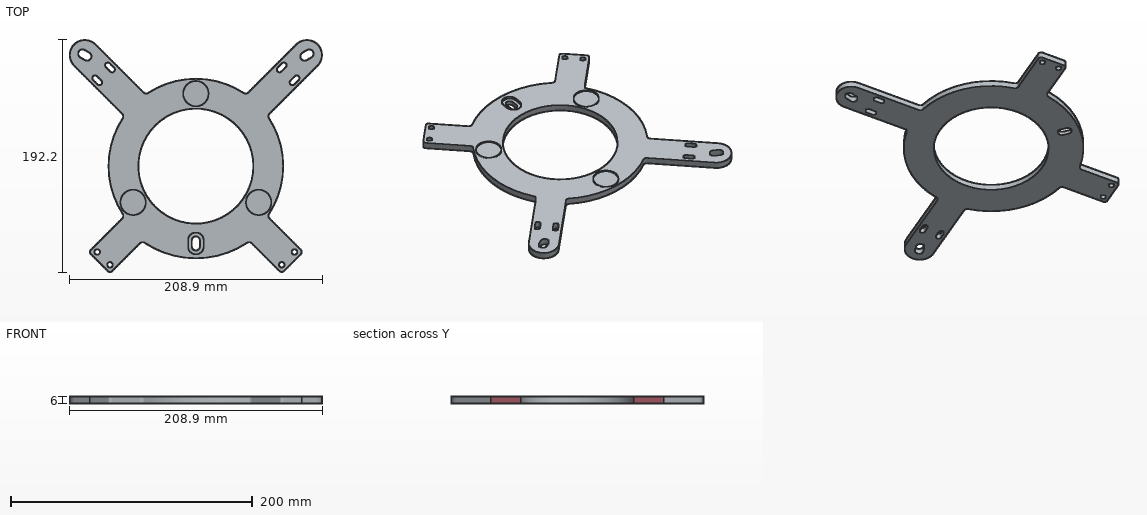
import cadquery as cq
import math

overall_width = 208.9
thickness = 6.0
bore_diameter = 95.0
ring_radius = 72.4
lower_ring_radius = 76.4

arm_width = 25.0
upper_arm_angles = (45.0, 135.0)
lower_arm_angles = (-45.0, -135.0)
upper_arm_tip_radius = arm_width / 2
upper_arm_reach = (overall_width / 2 - upper_arm_tip_radius) * math.sqrt(2)
lower_arm_length = 113.0
lower_arm_corner_radius = 2.5
root_fillet_radius = 3.0

screw_diameter = 4.4
screw_reach = 108.0
screw_spacing = 15.0
screw_slot_travel = 5.0

tip_slot_diameter = 7.0
tip_slot_travel = 4.4
tip_slot_tilt = 30.0

recess_diameter = 21.0
recess_circle_radius = 60.0
recess_depth = 1.0
recess_angles = (90.0, 210.0, 330.0)

ring_slot_y = -64.0
ring_slot_travel = 5.0
ring_slot_width = 6.5
ring_slot_counterbore_width = 13.0
ring_slot_counterbore_depth = 2.0


def polar(radius, angle, offset=0.0):
    """Point at a radius along an angle, shifted sideways (counterclockwise) by offset."""
    a = math.radians(angle)
    x = radius * math.cos(a) - offset * math.sin(a)
    y = radius * math.sin(a) + offset * math.cos(a)
    return (x, y)


def slot_cutter(center, travel, width, angle, depth=thickness):
    """Round-ended slot reaching down from the top face."""
    cutter = cq.Workplane("XY").slot2D(travel + width, width, angle).extrude(depth)
    return cutter.translate((center[0], center[1], thickness - depth))


def make_ring():
    disc = cq.Workplane("XY").circle(ring_radius).extrude(thickness)
    wedge_side = 2 * lower_ring_radius
    wedge = (
        cq.Workplane("XY")
        .polyline([(0, 0), (-wedge_side, -wedge_side), (wedge_side, -wedge_side)])
        .close()
        .extrude(thickness)
    )
    lower_sector = cq.Workplane("XY").circle(lower_ring_radius).extrude(thickness).intersect(wedge)
    return disc.union(lower_sector)


def make_arm(length, angle):
    arm = cq.Workplane("XY").box(length, arm_width, thickness, centered=(False, True, False))
    return arm.rotate((0, 0, 0), (0, 0, 1), angle)


def make_upper_arm(angle):
    tip = cq.Workplane("XY").center(*polar(upper_arm_reach, angle))
    tip = tip.circle(upper_arm_tip_radius).extrude(thickness)
    return make_arm(upper_arm_reach, angle).union(tip)


def make_lower_arm(angle):
    arm = make_arm(lower_arm_length, 0).edges("|Z and >X").fillet(lower_arm_corner_radius)
    return arm.rotate((0, 0, 0), (0, 0, 1), angle)


def root_point(angle, side):
    """Where one side of an arm (+1 or -1) meets the ring's outer edge."""
    half_width = arm_width / 2
    inside_lower_sector = (angle == lower_arm_angles[0] and side < 0) or (
        angle == lower_arm_angles[1] and side > 0
    )
    radius = lower_ring_radius if inside_lower_sector else ring_radius
    return polar(math.sqrt(radius**2 - half_width**2), angle, side * half_width)


def fillet_roots(body):
    for angle in upper_arm_angles + lower_arm_angles:
        for side in (-1, 1):
            x, y = root_point(angle, side)
            root_edge = cq.selectors.NearestToPointSelector((x, y, thickness / 2))
            body = body.edges("|Z").edges(root_edge).fillet(root_fillet_radius)
    return body


def cut_arm_holes(body):
    for side in (-1, 1):
        offset = side * screw_spacing / 2
        for angle in upper_arm_angles:
            center = polar(screw_reach, angle, offset)
            body = body.cut(slot_cutter(center, screw_slot_travel, screw_diameter, angle))
        for angle in lower_arm_angles:
            center = polar(screw_reach, angle, offset)
            hole = cq.Workplane("XY").center(*center).circle(screw_diameter / 2).extrude(thickness)
            body = body.cut(hole)
    for angle, tilt in zip(upper_arm_angles, (tip_slot_tilt, -tip_slot_tilt)):
        center = polar(upper_arm_reach, angle)
        body = body.cut(slot_cutter(center, tip_slot_travel, tip_slot_diameter, tilt))
    return body


def cut_ring_features(body):
    bore = cq.Workplane("XY").circle(bore_diameter / 2).extrude(thickness)
    body = body.cut(bore)
    recess_floor = cq.Workplane("XY", origin=(0, 0, thickness - recess_depth))
    recess_centers = [polar(recess_circle_radius, angle) for angle in recess_angles]
    body = body.cut(recess_floor.pushPoints(recess_centers).circle(recess_diameter / 2).extrude(recess_depth))
    center = (0, ring_slot_y)
    body = body.cut(slot_cutter(center, ring_slot_travel, ring_slot_width, 90))
    counterbore = slot_cutter(
        center, ring_slot_travel, ring_slot_counterbore_width, 90, ring_slot_counterbore_depth
    )
    return body.cut(counterbore)


body = make_ring()
for arm_angle in upper_arm_angles:
    body = body.union(make_upper_arm(arm_angle))
for arm_angle in lower_arm_angles:
    body = body.union(make_lower_arm(arm_angle))
body = fillet_roots(body)
body = cut_arm_holes(body)
result = cut_ring_features(body)